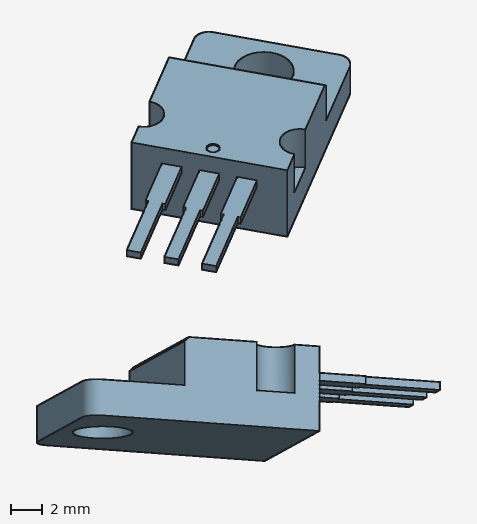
import cadquery as cq


total_length = 24.22
width = 10.12
height = 5.4

lead_length = 8.8
body_length = 8.99
tab_thickness = 2.3
tab_corner_radius = 0.97
body_chamfer = 0.3

hole_diameter = 3.75
hole_to_tab_end = 2.83

notch_radius = 1.25
notch_to_body_end = 2.9

mark_diameter = 0.82
mark_depth = 0.12
mark_to_body_end = 0.85

lead_count = 3
lead_pitch = 2.45
lead_wide_width = 1.28
lead_wide_length = 3.78
lead_narrow_width = 0.92
lead_thickness = 0.5
lead_bottom = 3.63

tab_end = total_length / 2
lead_tip = -total_length / 2
body_end = lead_tip + lead_length
body_step = body_end + body_length


def block(size_x, y_start, y_end, z_bottom, size_z, x_center=0):
    """Box centred on x_center in X, between two Y places, standing on z_bottom."""
    return (
        cq.Workplane("XY", origin=(x_center, (y_start + y_end) / 2, z_bottom))
        .rect(size_x, y_end - y_start)
        .extrude(size_z)
    )


def make_tab():
    """Base plate with rounded free corners and the mounting hole."""
    plate = block(width, body_end, tab_end, 0, tab_thickness)
    plate = plate.edges("|Z and >Y").fillet(tab_corner_radius)
    hole = (
        cq.Workplane("XY", origin=(0, tab_end - hole_to_tab_end, 0))
        .circle(hole_diameter / 2)
        .extrude(tab_thickness)
    )
    return plate.cut(hole)


def make_body():
    """Raised body with a chamfered step edge, side notches and the round mark."""
    body_height = height - tab_thickness
    body = block(width, body_end, body_step, tab_thickness, body_height)
    body = body.edges(">Y and >Z").chamfer(body_chamfer)
    notches = (
        cq.Workplane("XY", origin=(0, body_end + notch_to_body_end, tab_thickness))
        .pushPoints([(-width / 2, 0), (width / 2, 0)])
        .circle(notch_radius)
        .extrude(body_height)
    )
    mark = (
        cq.Workplane("XY", origin=(0, body_end + mark_to_body_end, height))
        .circle(mark_diameter / 2)
        .extrude(-mark_depth)
    )
    return body.cut(notches).cut(mark)


def make_lead(x_center):
    """Flat lead, wide next to the body and narrow from there to its tip."""
    shoulder = body_end - lead_wide_length
    wide = block(lead_wide_width, shoulder, body_end, lead_bottom, lead_thickness, x_center)
    narrow = block(lead_narrow_width, lead_tip, shoulder, lead_bottom, lead_thickness, x_center)
    return wide.union(narrow)


result = make_tab().union(make_body())
for index in range(lead_count):
    lead_x = (index - (lead_count - 1) / 2) * lead_pitch
    result = result.union(make_lead(lead_x))